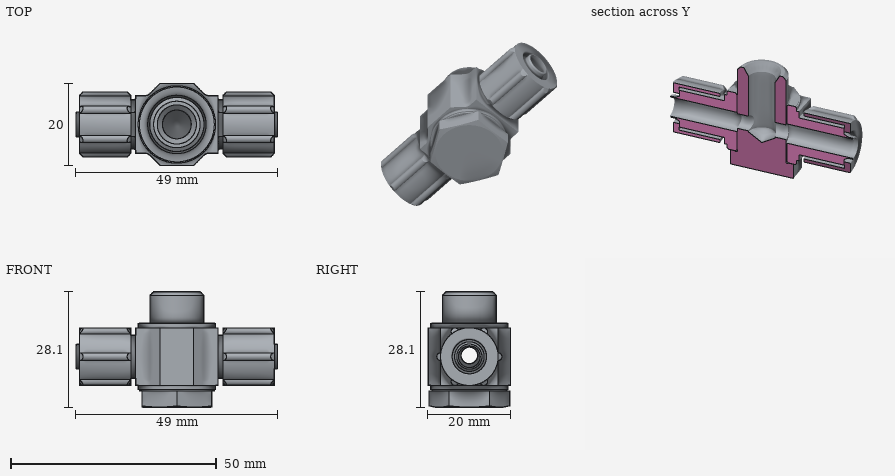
import cadquery as cq
import math

TIP_X = 24.5
BOLT_TOP_Z = 15.8
BOLT_BOTTOM_Z = -12.3

BODY_WIDTH = 20.0
ARM_WIDTH = 14.0
BODY_HEIGHT = 14.0
SIDE_FACE_WIDTH = 8.1
CORNER_FILLET = 2.0
SEAL_DIAMETER = 18.8
SEAL_FACE_DIAMETER = 18.2
SEAL_RIM_HEIGHT = 1.0
UPPER_SEAL_FACE_HEIGHT = 0.2
LOWER_SEAL_FACE_HEIGHT = 0.3
BORE_DIAMETER = 13.2
BORE_MOUTH_DIAMETER = 14.2

NECK_DIAMETER = 12.0
NECK_FLATS = 10.5
NECK_FILLET = 0.4
NECK_END_X = 22.0
SPIGOT_DIAMETER = 6.1
SPIGOT_BASE_DIAMETER = 7.2
SPIGOT_FLARE_LENGTH = 1.1
SPIGOT_TIP_ROUND = 0.35
SPIGOT_BORE_DIAMETER = 5.3

NUT_INNER_X = 11.15
NUT_OUTER_X = 23.7
NUT_DIAMETER = 14.0
NUT_MOUTH_DIAMETER = 8.35
NUT_MOUTH_ROUND = 0.35
RIB_COUNT = 6
RIB_RADIUS = 0.93
RIB_TIP_DIAMETER = 15.84

BOLT_DIAMETER = 13.16
BOLT_TIP_DIAMETER = 11.3
BOLT_HOLE_DIAMETER = 7.0
BOLT_HOLE_MOUTH_DIAMETER = 9.5
COUNTERSINK_ANGLE = 60.0
BOLT_HOLE_SHOULDER_Z = -2.0
DRILL_POINT_ANGLE = 118.0
CROSS_HOLE_DIAMETER = 4.0
CROSS_HOLE_Z = 0.3
HEX_ACROSS_FLATS = 17.0
HEX_END_DIAMETER = 16.4
HEX_CHAMFER_ANGLE = 12.0

SEAL_TOP_Z = BODY_HEIGHT / 2 + SEAL_RIM_HEIGHT + UPPER_SEAL_FACE_HEIGHT
SEAL_BOTTOM_Z = -BODY_HEIGHT / 2 - SEAL_RIM_HEIGHT - LOWER_SEAL_FACE_HEIGHT
SIDES = (-1, 1)
SELECT_MARGIN = 0.1


def disc_along_x(diameter, start_x, end_x):
    """Cylinder on the X axis between two X positions."""
    return cq.Workplane("YZ").workplane(offset=start_x).circle(diameter / 2).extrude(end_x - start_x)


def turned_about_z(points):
    """Solid of revolution about Z from (radius, z) points."""
    return cq.Workplane("XZ").polyline(points).close().revolve(360, (0, 0, 0), (0, 1, 0))


def turned_about_x(points):
    """Solid of revolution about X from (x, radius) points."""
    return cq.Workplane("XY").polyline(points).close().revolve(360, (0, 0, 0), (1, 0, 0))


def on_side(shape, side):
    """Turn a shape made on the +X side half a turn about Z when it belongs on the -X side."""
    return shape if side > 0 else shape.rotate((0, 0, 0), (0, 0, 1), 180)


def body_block():
    """Square middle with cut corners and a rectangular arm on each side, filleted where they meet."""
    corner_cut = (BODY_WIDTH - SIDE_FACE_WIDTH) / 2
    middle = (
        cq.Workplane("XY")
        .box(BODY_WIDTH, BODY_WIDTH, BODY_HEIGHT)
        .edges("|Z")
        .chamfer(corner_cut)
    )
    arms = cq.Workplane("XY").box(BODY_WIDTH, ARM_WIDTH, BODY_HEIGHT)
    inside_corner_x = BODY_WIDTH - corner_cut - ARM_WIDTH / 2
    inside_corners = cq.selectors.BoxSelector(
        (-inside_corner_x - SELECT_MARGIN, -ARM_WIDTH / 2 - SELECT_MARGIN, -BODY_HEIGHT),
        (inside_corner_x + SELECT_MARGIN, ARM_WIDTH / 2 + SELECT_MARGIN, BODY_HEIGHT),
    )
    return middle.union(arms).edges("|Z").edges(inside_corners).fillet(CORNER_FILLET)


def seal_collars():
    """Round collars above and below the block, each with a slightly smaller raised sealing face."""
    rim_height = BODY_HEIGHT + 2 * SEAL_RIM_HEIGHT
    rims = cq.Workplane("XY").cylinder(rim_height, SEAL_DIAMETER / 2)
    faces = (
        cq.Workplane("XY")
        .workplane(offset=SEAL_BOTTOM_Z)
        .circle(SEAL_FACE_DIAMETER / 2)
        .extrude(SEAL_TOP_Z - SEAL_BOTTOM_Z)
    )
    return rims.union(faces)


def bolt_bore():
    """Through bore along Z, chamfered at both mouths."""
    bore_radius = BORE_DIAMETER / 2
    mouth_radius = BORE_MOUTH_DIAMETER / 2
    chamfer = mouth_radius - bore_radius
    return turned_about_z([
        (0, SEAL_BOTTOM_Z),
        (mouth_radius, SEAL_BOTTOM_Z),
        (bore_radius, SEAL_BOTTOM_Z + chamfer),
        (bore_radius, SEAL_TOP_Z - chamfer),
        (mouth_radius, SEAL_TOP_Z),
        (0, SEAL_TOP_Z),
    ])


def tube_fitting():
    """Flatted neck and tube spigot on the +X side."""
    face_x = BODY_WIDTH / 2
    neck_radius = NECK_DIAMETER / 2
    neck = (
        cq.Workplane("XY")
        .moveTo(0, 0)
        .lineTo(0, neck_radius + NECK_FILLET)
        .lineTo(face_x, neck_radius + NECK_FILLET)
        .radiusArc((face_x + NECK_FILLET, neck_radius), -NECK_FILLET)
        .lineTo(NECK_END_X, neck_radius)
        .lineTo(NECK_END_X, 0)
        .close()
        .revolve(360, (0, 0, 0), (1, 0, 0))
    )
    flats = cq.Workplane("XY").box(2 * TIP_X, 2 * NECK_DIAMETER, NECK_FLATS)
    spigot = disc_along_x(SPIGOT_DIAMETER, face_x, TIP_X).faces(">X").edges().fillet(SPIGOT_TIP_ROUND)
    flare = turned_about_x([
        (face_x, 0),
        (face_x, SPIGOT_BASE_DIAMETER / 2),
        (NECK_END_X, SPIGOT_BASE_DIAMETER / 2),
        (NECK_END_X + SPIGOT_FLARE_LENGTH, SPIGOT_DIAMETER / 2),
        (NECK_END_X + SPIGOT_FLARE_LENGTH, 0),
    ])
    return neck.intersect(flats).union(spigot).union(flare)


def make_body():
    body = body_block().union(seal_collars())
    for side in SIDES:
        body = body.union(on_side(tube_fitting(), side))
    return body.cut(bolt_bore()).cut(disc_along_x(SPIGOT_BORE_DIAMETER, -TIP_X, TIP_X))


def make_nut(side):
    """Union nut with round grip ribs that taper off at both ends."""
    rib_height = (RIB_TIP_DIAMETER - NUT_DIAMETER) / 2
    length = NUT_OUTER_X - NUT_INNER_X
    ribs = (
        cq.Workplane("YZ")
        .workplane(offset=NUT_INNER_X)
        .polarArray(RIB_TIP_DIAMETER / 2 - RIB_RADIUS, 0, 360, RIB_COUNT)
        .circle(RIB_RADIUS)
        .extrude(length)
    )
    envelope = disc_along_x(RIB_TIP_DIAMETER, NUT_INNER_X, NUT_OUTER_X).edges().chamfer(rib_height)
    nut = disc_along_x(NUT_DIAMETER, NUT_INNER_X, NUT_OUTER_X).union(ribs.intersect(envelope))
    nut = nut.cut(disc_along_x(NECK_DIAMETER, NUT_INNER_X, NECK_END_X))
    nut = nut.cut(disc_along_x(NUT_MOUTH_DIAMETER, NECK_END_X, NUT_OUTER_X))
    nut = nut.faces(">X").edges("%CIRCLE").edges(cq.selectors.RadiusNthSelector(0)).fillet(NUT_MOUTH_ROUND)
    return on_side(nut, side)


def hex_head():
    """Hexagon with corners on the Y axis, its lower corners cut by a shallow cone."""
    corner_diameter = HEX_ACROSS_FLATS / math.cos(math.pi / 6)
    head = (
        cq.Workplane("XY")
        .workplane(offset=BOLT_BOTTOM_Z)
        .polygon(6, corner_diameter)
        .extrude(SEAL_BOTTOM_Z - BOLT_BOTTOM_Z)
        .rotate((0, 0, 0), (0, 0, 1), 90)
    )
    corner_overhang = (corner_diameter - HEX_END_DIAMETER) / 2
    corner_rise = corner_overhang * math.tan(math.radians(HEX_CHAMFER_ANGLE))
    envelope = turned_about_z([
        (0, BOLT_BOTTOM_Z),
        (HEX_END_DIAMETER / 2, BOLT_BOTTOM_Z),
        (corner_diameter / 2, BOLT_BOTTOM_Z + corner_rise),
        (corner_diameter / 2, SEAL_BOTTOM_Z),
        (0, SEAL_BOTTOM_Z),
    ])
    return head.intersect(envelope)


def bolt_hole():
    """Blind drilled hole from the top with a countersunk mouth and a drill point."""
    hole_radius = BOLT_HOLE_DIAMETER / 2
    mouth_radius = BOLT_HOLE_MOUTH_DIAMETER / 2
    countersink_depth = (mouth_radius - hole_radius) / math.tan(math.radians(COUNTERSINK_ANGLE / 2))
    point_depth = hole_radius / math.tan(math.radians(DRILL_POINT_ANGLE / 2))
    return turned_about_z([
        (0, BOLT_HOLE_SHOULDER_Z - point_depth),
        (hole_radius, BOLT_HOLE_SHOULDER_Z),
        (hole_radius, BOLT_TOP_Z - countersink_depth),
        (mouth_radius, BOLT_TOP_Z),
        (0, BOLT_TOP_Z),
    ])


def make_bolt():
    tip_chamfer = (BOLT_DIAMETER - BOLT_TIP_DIAMETER) / 2
    shank = (
        cq.Workplane("XY")
        .workplane(offset=SEAL_BOTTOM_Z)
        .circle(BOLT_DIAMETER / 2)
        .extrude(BOLT_TOP_Z - SEAL_BOTTOM_Z)
        .faces(">Z")
        .edges()
        .chamfer(tip_chamfer)
    )
    cross_hole = disc_along_x(CROSS_HOLE_DIAMETER, -BOLT_DIAMETER, BOLT_DIAMETER)
    cross_hole = cross_hole.translate((0, 0, CROSS_HOLE_Z))
    return shank.union(hex_head()).cut(bolt_hole()).cut(cross_hole)


body = make_body()
bolt = make_bolt()
nuts = [make_nut(side) for side in SIDES]

result = cq.Compound.makeCompound([body.val(), bolt.val(), *[nut.val() for nut in nuts]])